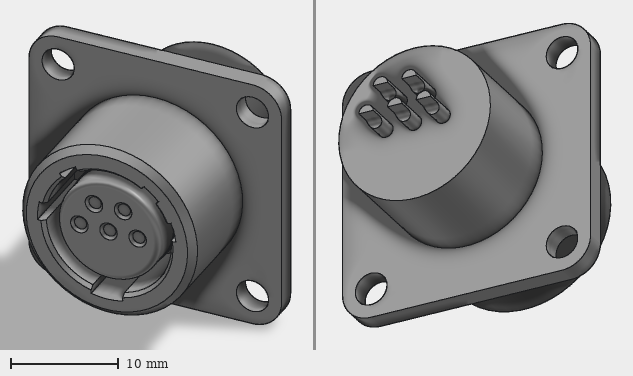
import cadquery as cq
import math

flange_size = 26.0
flange_thickness = 2.0
flange_corner_radius = 3.0
mounting_hole_diameter = 3.3
mounting_hole_pitch = 20.0

barrel_radius = 9.0
barrel_length = 10.5
barrel_chamfer = 0.7
rear_body_radius = 7.95
rear_body_length = 10.5

cavity_radius = 6.45
cavity_depth = 8.0
mouth_radius = 6.8
mouth_taper_depth = 0.4

keyway_radius = 7.15
narrow_keyway_width = 1.95
wide_keyway_width = 3.25
keyways = [
    (15.0, narrow_keyway_width),
    (50.0, narrow_keyway_width),
    (125.0, narrow_keyway_width),
    (175.0, narrow_keyway_width),
    (270.0, wide_keyway_width),
]

insert_shank_radius = 5.35
insert_nose_radius = 5.27
insert_nose_length = 3.0
insert_edge_radius = 0.58
insert_recess = 0.35

contact_pitch = 3.0
upper_row_height = contact_pitch * math.sqrt(3) / 2
contact_positions = [
    (-contact_pitch, 0.0),
    (0.0, 0.0),
    (contact_pitch, 0.0),
    (-contact_pitch / 2, upper_row_height),
    (contact_pitch / 2, upper_row_height),
]
socket_mouth_radius = 0.9
socket_depth = 0.27
socket_floor_radius = socket_mouth_radius - socket_depth

tail_radius = 0.75
tail_length = 4.0
tail_full_length = 2.0
tail_cut_radius = tail_radius

barrel_front = -barrel_length
cavity_floor = barrel_front + cavity_depth
insert_front = barrel_front + insert_recess
rear_body_back = flange_thickness + rear_body_length


def cylinder(radius, y_start, y_end, x=0.0, z=0.0):
    """Solid cylinder parallel to Y."""
    axis = cq.Vector(0, 1, 0)
    return cq.Workplane(cq.Solid.makeCylinder(radius, y_end - y_start, cq.Vector(x, y_start, z), axis))


def cone(start_radius, end_radius, y_start, length, x=0.0, z=0.0):
    """Solid truncated cone parallel to Y."""
    base = cq.Vector(x, y_start, z)
    return cq.Workplane(cq.Solid.makeCone(start_radius, end_radius, length, base, cq.Vector(0, 1, 0)))


def make_flange():
    """Square plate with rounded corners and a mounting hole in each corner."""
    plate = (
        cq.Workplane("XY")
        .box(flange_size, flange_thickness, flange_size)
        .translate((0, flange_thickness / 2, 0))
        .edges("|Y")
        .fillet(flange_corner_radius)
    )
    half_pitch = mounting_hole_pitch / 2
    for x in (-half_pitch, half_pitch):
        for z in (-half_pitch, half_pitch):
            plate = plate.cut(cylinder(mounting_hole_diameter / 2, 0, flange_thickness, x, z))
    return plate


def make_keyway(angle, width):
    """Radial slot with parallel sides and a round outer wall."""
    slot = (
        cq.Workplane("XY")
        .box(barrel_radius, cavity_depth, width)
        .translate((barrel_radius / 2, barrel_front + cavity_depth / 2, 0))
        .rotate((0, 0, 0), (0, 1, 0), -angle)
    )
    return slot.intersect(cylinder(keyway_radius, barrel_front, cavity_floor))


def make_barrel():
    """Chamfered barrel with a tapered, keyed cavity."""
    barrel = cylinder(barrel_radius, barrel_front, 0).faces("<Y").chamfer(barrel_chamfer)
    barrel = barrel.cut(cylinder(cavity_radius, barrel_front, cavity_floor))
    barrel = barrel.cut(cone(mouth_radius, cavity_radius, barrel_front, mouth_taper_depth))
    for angle, width in keyways:
        barrel = barrel.cut(make_keyway(angle, width))
    return barrel


def make_insert():
    """Contact insert with one socket opening per contact."""
    nose = cylinder(insert_nose_radius, insert_front, 0).faces("<Y").edges().fillet(insert_edge_radius)
    insert = nose.union(cylinder(insert_shank_radius, insert_front + insert_nose_length, 0))
    for x, z in contact_positions:
        insert = insert.cut(cone(socket_mouth_radius, socket_floor_radius, insert_front, socket_depth, x, z))
    return insert


def make_tail(x, z):
    """Solder tail whose lower half is cut away at the tip with a concave run-out."""
    tip = rear_body_back + tail_length
    cut_start = rear_body_back + tail_full_length
    arc_centre = cut_start + tail_cut_radius
    diagonal = tail_cut_radius * math.sqrt(0.5)
    lower_half_cut = (
        cq.Workplane("YZ")
        .moveTo(cut_start, -tail_radius)
        .threePointArc((arc_centre - diagonal, diagonal - tail_radius), (arc_centre, 0))
        .lineTo(tip, 0)
        .lineTo(tip, -tail_radius)
        .close()
        .extrude(tail_radius, both=True)
        .translate((x, 0, z))
    )
    return cylinder(tail_radius, rear_body_back, tip, x, z).cut(lower_half_cut)


result = make_flange().union(make_barrel()).union(make_insert())
result = result.union(cylinder(rear_body_radius, flange_thickness, rear_body_back))
for tail_x, tail_z in contact_positions:
    result = result.union(make_tail(tail_x, tail_z))